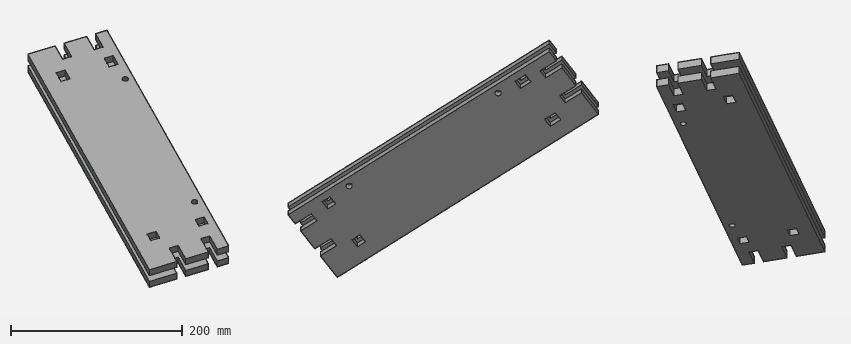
import cadquery as cq

LENGTH = 372.0
WIDTH = 100.0
THICKNESS = 10.0
GAP = 10.0
BOARD_COUNT = 2

JOINT_WIDTH = 11.0
SLOT_DEPTH = 23.0
SLOT_BACK_OFFSETS = (14.5, 54.3)
WINDOW_BACK_OFFSETS = (9.0, 69.5)

LEFT_WINDOW_LENGTH = 15.0
LEFT_WINDOW_OFFSET = 40.0
RIGHT_WINDOW_LENGTH = 11.0
RIGHT_WINDOW_OFFSET = 42.5

HOLE_DIAMETER = 7.0
HOLE_END_OFFSET = 80.0
HOLE_BACK_OFFSET = 10.0


def through_cutter(left, length, back_offset):
    """Rectangular cutter from x = left, running through the board thickness."""
    front = WIDTH - back_offset - JOINT_WIDTH
    return cq.Workplane("XY").box(length, JOINT_WIDTH, THICKNESS, centered=False).translate((left, front, 0))


def cut_end_slots(board):
    for back_offset in SLOT_BACK_OFFSETS:
        for left in (0, LENGTH - SLOT_DEPTH):
            board = board.cut(through_cutter(left, SLOT_DEPTH, back_offset))
    return board


def cut_windows(board):
    right_window_left = LENGTH - RIGHT_WINDOW_OFFSET - RIGHT_WINDOW_LENGTH
    for back_offset in WINDOW_BACK_OFFSETS:
        board = board.cut(through_cutter(LEFT_WINDOW_OFFSET, LEFT_WINDOW_LENGTH, back_offset))
        board = board.cut(through_cutter(right_window_left, RIGHT_WINDOW_LENGTH, back_offset))
    return board


def cut_round_holes(board):
    hole_y = WIDTH - HOLE_BACK_OFFSET
    centers = [(HOLE_END_OFFSET, hole_y), (LENGTH - HOLE_END_OFFSET, hole_y)]
    holes = cq.Workplane("XY").pushPoints(centers).circle(HOLE_DIAMETER / 2).extrude(THICKNESS)
    return board.cut(holes)


def make_board(bottom):
    """One board with its underside at z = bottom."""
    board = cq.Workplane("XY").box(LENGTH, WIDTH, THICKNESS, centered=False)
    board = cut_end_slots(board)
    board = cut_windows(board)
    board = cut_round_holes(board)
    return board.translate((0, 0, bottom))


boards = [make_board(level * (THICKNESS + GAP)) for level in range(BOARD_COUNT)]

result = cq.Compound.makeCompound([board.solids().val() for board in boards])